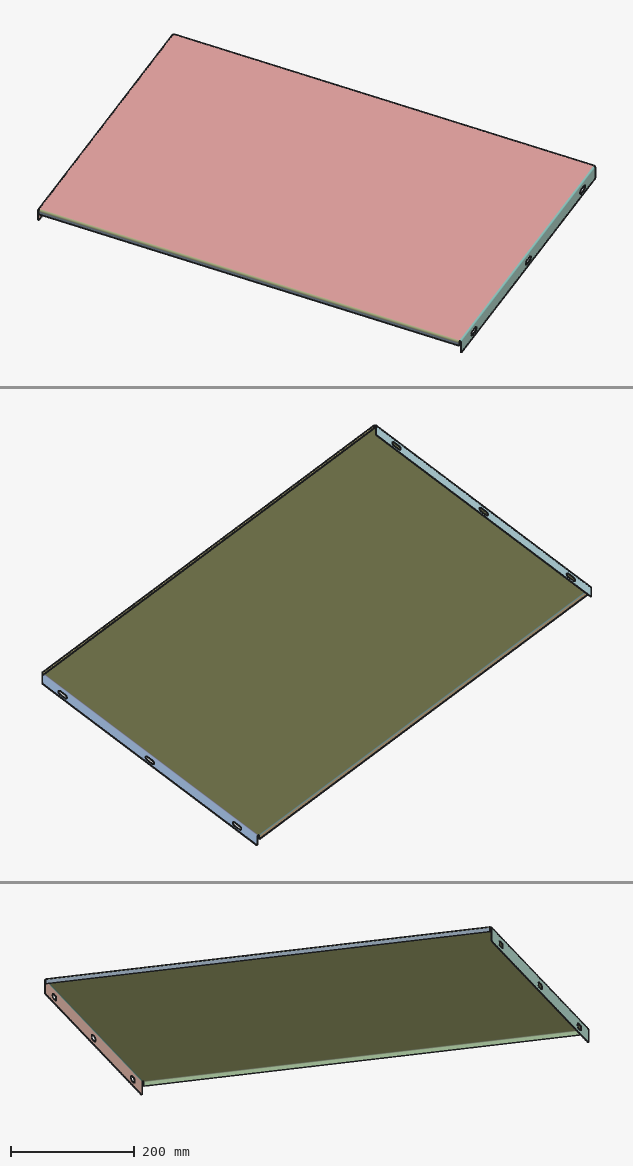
import cadquery as cq

length = 762.0
width = 499.0
height = 25.0
sheet = 1.5
bend_radius = 3.0
lip_height = 9.0

slot_length = 20.0
slot_height = 8.5
slot_spacing = 200.0
slot_drop = 14.5

flange_corner_radius = 2.0

flat_length = length - 2 * bend_radius
flat_width = width - 2 * bend_radius


def bent_edge(plane, reach, drop, span):
    """A bend and its downturned leg at distance reach, extruded symmetrically over span."""
    inside_radius = bend_radius - sheet
    bend_start = reach - bend_radius
    return (
        cq.Workplane(plane)
        .moveTo(bend_start, height)
        .radiusArc((reach, height - bend_radius), bend_radius)
        .lineTo(reach, height - drop)
        .lineTo(reach - sheet, height - drop)
        .lineTo(reach - sheet, height - bend_radius)
        .radiusArc((bend_start, height - sheet), -inside_radius)
        .close()
        .extrude(span / 2, both=True)
    )


def slot_cutters():
    """Three horizontal slots running through both end flanges."""
    return (
        cq.Workplane("YZ")
        .center(0, height - slot_drop)
        .rarray(slot_spacing, 8, 3, 1)
        .slot2D(slot_length, slot_height)
        .extrude(length, both=True)
    )


top_sheet = cq.Workplane("XY", origin=(0, 0, height - sheet)).box(
    flat_length, flat_width, sheet, centered=(True, True, False)
)

end_flange = bent_edge("XZ", length / 2, height, flat_width)
end_flange = end_flange.edges("|X").edges("<Z").fillet(flange_corner_radius)
long_lip = bent_edge("YZ", width / 2, lip_height, flat_length)

result = (
    top_sheet.union(end_flange)
    .union(end_flange.mirror("YZ"))
    .union(long_lip)
    .union(long_lip.mirror("XZ"))
    .cut(slot_cutters())
)